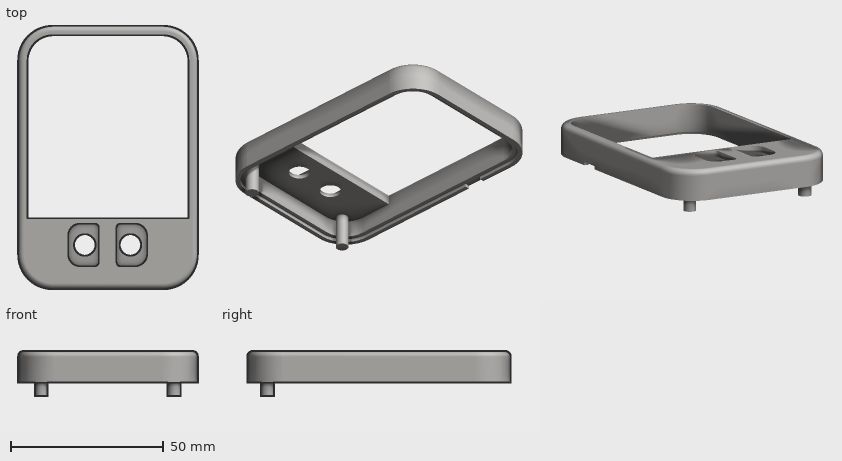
import cadquery as cq

WIDTH = 59.2
LENGTH = 86.7
BODY_HEIGHT = 10.4
CORNER_RADIUS = 11.5
TOP_FILLET = 1.9

WALL = 3.2
PANEL_THICKNESS = 3.4
WINDOW_FRONT_Y = -19.9

FITTINGS_CENTER_X = -0.13

BUTTON_X = 7.5
BUTTON_Y = -28.75
BUTTON_HOLE_DIAMETER = 7.0
POCKET_INNER_X = 2.9
POCKET_OUTER_X = 13.0
POCKET_LENGTH = 14.0
POCKET_DEPTH = 2.0
POCKET_INNER_RADIUS = 1.4
POCKET_OUTER_RADIUS = 4.0

PIN_X = 21.83
LEFT_PIN_DIAMETER = 4.15
RIGHT_PIN_DIAMETER = 4.48
PIN_Y = -36.7
PIN_PROJECTION = 4.48

RECESS_DEPTH = 1.1
LIP_THICKNESS = WALL / 2

NOTCH_CENTER_Y = 16.2
NOTCH_WIDTH = 6.5
NOTCH_HEIGHT = RECESS_DEPTH

INNER_WIDTH = WIDTH - 2 * WALL
INNER_LENGTH = LENGTH - 2 * WALL
INNER_RADIUS = CORNER_RADIUS - WALL
PANEL_BOTTOM_Z = BODY_HEIGHT - PANEL_THICKNESS


def rounded_block(width, length, height, radius):
    """Upright block standing on Z = 0 with rounded vertical corners."""
    block = cq.Workplane("XY").rect(width, length).extrude(height)
    return block.edges("|Z").fillet(radius)


def make_frame():
    """Rounded ring wall with a filleted top rim and a recessed bottom edge."""
    outer = rounded_block(WIDTH, LENGTH, BODY_HEIGHT, CORNER_RADIUS)
    outer = outer.faces(">Z").edges().fillet(TOP_FILLET)
    return outer.cut(make_inner_block()).cut(make_bottom_recess())


def make_inner_block():
    """Volume enclosed by the ring wall."""
    return rounded_block(INNER_WIDTH, INNER_LENGTH, BODY_HEIGHT, INNER_RADIUS)


def make_bottom_recess():
    """Shallow pocket inside the outer lip at the bottom of the wall."""
    return rounded_block(
        WIDTH - 2 * LIP_THICKNESS,
        LENGTH - 2 * LIP_THICKNESS,
        RECESS_DEPTH,
        CORNER_RADIUS - LIP_THICKNESS,
    )


def make_panel():
    """Top panel closing the opening between the front wall and the window."""
    panel_length = WINDOW_FRONT_Y + LENGTH / 2
    limits = (
        cq.Workplane("XY")
        .box(WIDTH, panel_length, PANEL_THICKNESS, centered=(True, False, False))
        .translate((0, -LENGTH / 2, PANEL_BOTTOM_Z))
    )
    return make_inner_block().intersect(limits)


def make_pin(x, diameter):
    """Pin running from the underside of the panel to below the body."""
    return (
        cq.Workplane("XY", origin=(x, PIN_Y, -PIN_PROJECTION))
        .circle(diameter / 2)
        .extrude(PIN_PROJECTION + PANEL_BOTTOM_Z)
    )


def make_button_cut():
    """Button pocket and through hole on the +X side of the fittings centre line."""
    pocket_width = POCKET_OUTER_X - POCKET_INNER_X
    pocket_center_x = (POCKET_OUTER_X + POCKET_INNER_X) / 2
    pocket = (
        cq.Workplane("XY")
        .rect(pocket_width, POCKET_LENGTH)
        .extrude(POCKET_DEPTH)
        .edges("|Z and <X")
        .fillet(POCKET_INNER_RADIUS)
        .edges("|Z and >X")
        .fillet(POCKET_OUTER_RADIUS)
        .translate((pocket_center_x, BUTTON_Y, BODY_HEIGHT - POCKET_DEPTH))
    )
    hole = (
        cq.Workplane("XY")
        .center(BUTTON_X, BUTTON_Y)
        .circle(BUTTON_HOLE_DIAMETER / 2)
        .extrude(BODY_HEIGHT)
    )
    return pocket.union(hole)


def make_notch():
    """Rectangular notch through the bottom edge of the -X wall."""
    return (
        cq.Workplane("XY")
        .box(WALL, NOTCH_WIDTH, NOTCH_HEIGHT, centered=(False, True, False))
        .translate((-WIDTH / 2, NOTCH_CENTER_Y, 0))
    )


result = make_frame().union(make_panel())
result = result.union(make_pin(FITTINGS_CENTER_X - PIN_X, LEFT_PIN_DIAMETER))
result = result.union(make_pin(FITTINGS_CENTER_X + PIN_X, RIGHT_PIN_DIAMETER))

right_button_cut = make_button_cut()
for button_cut in (right_button_cut, right_button_cut.mirror("YZ")):
    result = result.cut(button_cut.translate((FITTINGS_CENTER_X, 0, 0)))

result = result.cut(make_notch())